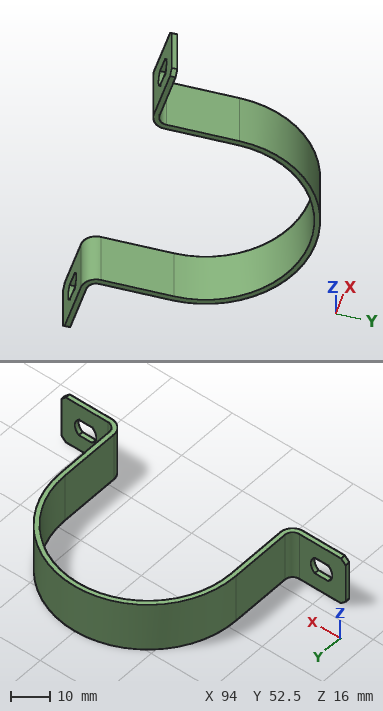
import cadquery as cq
import math

length = 94.0
depth = 52.5
width = 16.0

thickness = 1.5
arch_radius = 29.0
inner_bend = 2.5
outer_bend = inner_bend + thickness

corner_chamfer = 1.5
hole_length = 7.05
hole_height = 5.45
hole_end_radius = 3.5
hole_spacing = 78.0

half_length = length / 2
arch_center_y = depth - arch_radius
arch_inner_radius = arch_radius - thickness
bend_center_x = arch_radius + inner_bend
bend_center_y = outer_bend
diagonal = math.sqrt(0.5)


def bend_middle(side, radius):
    """Point halfway round a foot bend; side is -1 for left, 1 for right."""
    return (side * (bend_center_x - radius * diagonal), bend_center_y - radius * diagonal)


def make_strap():
    """Arch with straight legs and two bent feet, centred on z = 0."""
    return (
        cq.Workplane("XY")
        .workplane(offset=-width / 2)
        .moveTo(-half_length, 0)
        .lineTo(-bend_center_x, 0)
        .threePointArc(bend_middle(-1, outer_bend), (-arch_inner_radius, bend_center_y))
        .lineTo(-arch_inner_radius, arch_center_y)
        .threePointArc((0, depth - thickness), (arch_inner_radius, arch_center_y))
        .lineTo(arch_inner_radius, bend_center_y)
        .threePointArc(bend_middle(1, outer_bend), (bend_center_x, 0))
        .lineTo(half_length, 0)
        .lineTo(half_length, thickness)
        .lineTo(bend_center_x, thickness)
        .threePointArc(bend_middle(1, inner_bend), (arch_radius, bend_center_y))
        .lineTo(arch_radius, arch_center_y)
        .threePointArc((0, depth), (-arch_radius, arch_center_y))
        .lineTo(-arch_radius, bend_center_y)
        .threePointArc(bend_middle(-1, inner_bend), (-bend_center_x, thickness))
        .lineTo(-half_length, thickness)
        .close()
        .extrude(width)
    )


def chamfer_foot_corners(strap):
    """Cut the four outer corners of the feet."""
    for end in ("<X", ">X"):
        strap = strap.faces(end).edges("|Y").chamfer(corner_chamfer)
    return strap


def make_hole_cutter(center_x):
    """Flat-sided hole with bowed ends, running through a foot."""
    half_height = hole_height / 2
    half_hole = hole_length / 2
    end_rise = hole_end_radius - math.sqrt(hole_end_radius**2 - half_height**2)
    half_flat = half_hole - end_rise
    return (
        cq.Workplane("XZ")
        .center(center_x, 0)
        .moveTo(-half_flat, -half_height)
        .lineTo(half_flat, -half_height)
        .threePointArc((half_hole, 0), (half_flat, half_height))
        .lineTo(-half_flat, half_height)
        .threePointArc((-half_hole, 0), (-half_flat, -half_height))
        .close()
        .extrude(-thickness)
    )


result = chamfer_foot_corners(make_strap())
for side in (-1, 1):
    result = result.cut(make_hole_cutter(side * hole_spacing / 2))